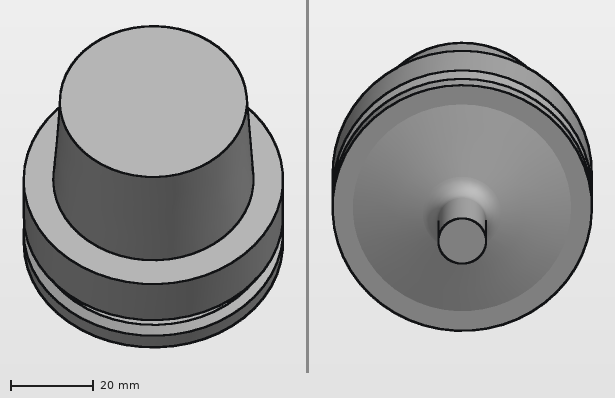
import cadquery as cq
import math

overall_length = 82.9

shank_length = 32.0
shank_base_diameter = 48.64
shank_taper = 1 / 10
shank_top_diameter = shank_base_diameter - shank_taper * shank_length

flange_diameter = 63.0
flange_width = 26.0
groove_depth_from_face = 18.0
groove_floor_diameter = 54.95
groove_floor_width = 3.75
groove_wall_inner_diameter = 58.4
groove_wall_angle = 30.0

cone_base_diameter = 53.0
cone_angle = 15.0
pin_diameter = 11.6
blend_radius = 5.0


def revolve_about_z(outline):
    """Close a radius/height outline and revolve it about the Z axis."""
    return outline.close().revolve(360, (0, 0, 0), (0, 1, 0))


def make_shank():
    return revolve_about_z(
        cq.Workplane("XZ")
        .lineTo(shank_base_diameter / 2, 0)
        .lineTo(shank_top_diameter / 2, shank_length)
        .lineTo(0, shank_length)
    )


def make_flange():
    return cq.Workplane("XY").circle(flange_diameter / 2).extrude(-flange_width)


def make_groove_cutter():
    rim_radius = flange_diameter / 2
    wall_radius = groove_wall_inner_diameter / 2
    floor_radius = groove_floor_diameter / 2
    half_floor = groove_floor_width / 2
    half_mouth = half_floor + (rim_radius - wall_radius) * math.tan(math.radians(groove_wall_angle))
    return revolve_about_z(
        cq.Workplane("XZ", origin=(0, 0, -groove_depth_from_face))
        .moveTo(rim_radius, half_mouth)
        .lineTo(wall_radius, half_floor)
        .lineTo(floor_radius, half_floor)
        .lineTo(floor_radius, -half_floor)
        .lineTo(wall_radius, -half_floor)
        .lineTo(rim_radius, -half_mouth)
    )


def make_cone_and_pin():
    slope = math.radians(cone_angle)
    cone_radius = cone_base_diameter / 2
    pin_radius = pin_diameter / 2
    pin_end_z = shank_length - overall_length

    arc_center_radius = pin_radius + blend_radius
    arc_start_radius = arc_center_radius - blend_radius * math.sin(slope)
    arc_start_z = -flange_width - (cone_radius - arc_start_radius) * math.tan(slope)
    arc_center_z = arc_start_z - blend_radius * math.cos(slope)
    middle_angle = (math.pi / 2 + slope + math.pi) / 2
    arc_middle_radius = arc_center_radius + blend_radius * math.cos(middle_angle)
    arc_middle_z = arc_center_z + blend_radius * math.sin(middle_angle)

    return revolve_about_z(
        cq.Workplane("XZ")
        .moveTo(0, -flange_width)
        .lineTo(cone_radius, -flange_width)
        .lineTo(arc_start_radius, arc_start_z)
        .threePointArc((arc_middle_radius, arc_middle_z), (pin_radius, arc_center_z))
        .lineTo(pin_radius, pin_end_z)
        .lineTo(0, pin_end_z)
    )


grooved_flange = make_flange().cut(make_groove_cutter())
result = grooved_flange.union(make_shank()).union(make_cone_and_pin())